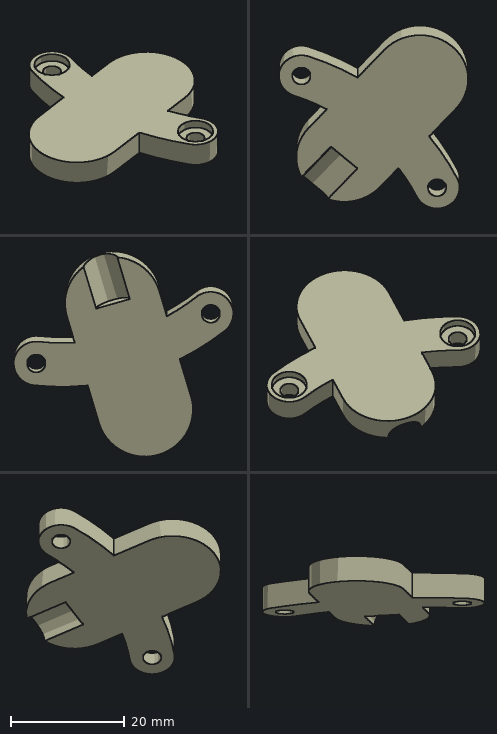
import cadquery as cq
import math

thickness = 4.5
body_length = 37.1
body_width = 17.0

arc_radius = 42.0
arc_half_angle = math.radians(22.5)
arc_offset_y = 0.25
bar_half_width = 4.0
arc_centre_y = arc_offset_y + arc_radius

screw_hole_diameter = 3.2
counterbore_diameter = 6.2
counterbore_depth = 1.5

groove_diameter = 6.2
groove_length = body_width / 2


def arc_point(radius, angle):
    """Point on a circle about the bar's arc centre; angle is measured from -Y towards +X."""
    return (radius * math.sin(angle), arc_centre_y - radius * math.cos(angle))


def make_body():
    return (
        cq.Workplane("XY")
        .slot2D(body_length, body_width, 90)
        .extrude(thickness)
    )


def make_crossbar():
    """Curved bar of constant width with rounded ends."""
    outer_radius = arc_radius + bar_half_width
    inner_radius = arc_radius - bar_half_width
    end_x, end_y = arc_point(arc_radius, arc_half_angle)
    tip_x = end_x + bar_half_width * math.cos(arc_half_angle)
    tip_y = end_y + bar_half_width * math.sin(arc_half_angle)
    return (
        cq.Workplane("XY")
        .moveTo(*arc_point(outer_radius, -arc_half_angle))
        .threePointArc(arc_point(outer_radius, 0), arc_point(outer_radius, arc_half_angle))
        .threePointArc((tip_x, tip_y), arc_point(inner_radius, arc_half_angle))
        .threePointArc(arc_point(inner_radius, 0), arc_point(inner_radius, -arc_half_angle))
        .threePointArc((-tip_x, tip_y), arc_point(outer_radius, -arc_half_angle))
        .close()
        .extrude(thickness)
    )


def cut_screw_holes(plate):
    hole_centres = [arc_point(arc_radius, side * arc_half_angle) for side in (-1, 1)]
    return (
        plate.faces(">Z")
        .workplane(origin=(0, 0, thickness))
        .pushPoints(hole_centres)
        .cboreHole(screw_hole_diameter, counterbore_diameter, counterbore_depth)
    )


def make_groove():
    """Cylinder lying along Y with its axis in the bottom face."""
    return (
        cq.Workplane("XZ", origin=(0, body_length / 2, 0))
        .circle(groove_diameter / 2)
        .extrude(groove_length)
    )


plate = make_body().union(make_crossbar())
plate = cut_screw_holes(plate)
result = plate.cut(make_groove())